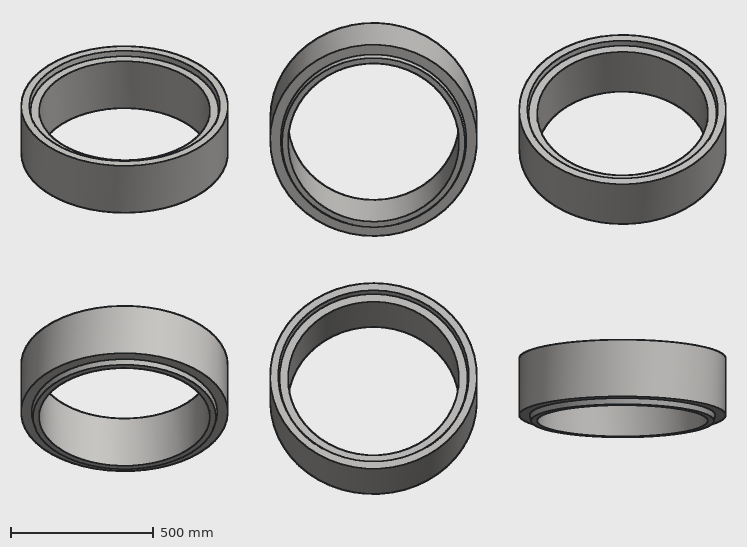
import cadquery as cq

outer_diameter = 726.0
bore_diameter = 600.0
total_height = 223.0
spigot_height = 20.0
spigot_base_diameter = 652.0
spigot_tip_diameter = 642.0
socket_depth = 20.0
socket_rim_diameter = 669.5
socket_floor_diameter = 659.0

outer_radius = outer_diameter / 2
bore_radius = bore_diameter / 2
socket_floor_z = total_height - socket_depth

section = (
    cq.Workplane("XZ")
    .moveTo(bore_radius, 0)
    .lineTo(spigot_tip_diameter / 2, 0)
    .lineTo(spigot_base_diameter / 2, spigot_height)
    .lineTo(outer_radius, spigot_height)
    .lineTo(outer_radius, total_height)
    .lineTo(socket_rim_diameter / 2, total_height)
    .lineTo(socket_floor_diameter / 2, socket_floor_z)
    .lineTo(bore_radius, socket_floor_z)
    .close()
)

result = section.revolve(360, (0, 0, 0), (0, 1, 0))